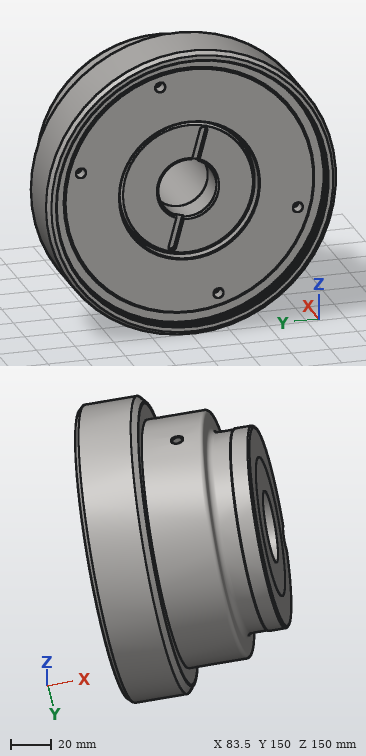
import cadquery as cq
import math


ring_radius = 75.0
ring_length = 31.6
ring_front_chamfer_length = 2.2
ring_front_chamfer_height = 2.1
ring_rear_chamfer_length = 3.0
ring_rear_chamfer_height = 3.5
lip_length = 3.3
lip_bore_radius = 69.9
lip_chamfer = 0.6
seat_radius = 70.8

plate_back = 15.0
pad_front = 5.0
pad_radius = 64.8
pad_height = 0.9
pad_edge_chamfer = 0.8
rim_mouth_chamfer = 0.22
rim_foot_height = 0.3
rim_foot_width = 0.3
plate_bore_radius = 36.0
plate_bore_chamfer = 0.5
face_hole_radius = 2.5
face_hole_depth = 7.5
face_hole_circle_radius = 58.0
drill_point_angle = 118.0
pattern_angle = 15.0
face_hole_angles = [pattern_angle + step for step in (0, 60, 180, 240)]

hub_front = 7.5
hub_radius = 35.0
hub_edge_chamfer = 1.4
hub_bore_radius = 15.0
hub_bore_chamfer = 1.0
hub_bore_end = 23.5
hub_rear_bore_radius = 18.0
slot_width = 3.9
slot_depth = 3.0
slot_end_radius = 33.0
slot_angles = [pattern_angle + 90, pattern_angle + 270]

total_length = 83.5
body_radius = 62.5
shoulder = 62.5
body_edge_fillet = 2.0
neck_radius = 50.5
neck_fillet = 3.0
collar_radius = 51.0
collar_start = 73.8
collar_end_chamfer = 0.9
groove_radius = 6.9
groove_circle_radius = 52.5
groove_angle = 45.0
side_hole_x = 49.5
side_hole_radius = 2.5
side_hole_chamfer = 0.5


def turned(points):
    """Solid of revolution about X of a closed (x, radius) outline."""
    return cq.Workplane("XY").polyline(points).close().revolve(360, (0, 0, 0), (1, 0, 0))


def around_axis(radius, angle):
    """(y, z) of a point at the given radius and angle from +Y about X."""
    return radius * math.cos(math.radians(angle)), radius * math.sin(math.radians(angle))


def make_clamp_ring():
    return turned([
        (0, lip_bore_radius + lip_chamfer),
        (0, ring_radius - ring_front_chamfer_height),
        (ring_front_chamfer_length, ring_radius),
        (ring_length - ring_rear_chamfer_length, ring_radius),
        (ring_length, ring_radius - ring_rear_chamfer_height),
        (ring_length, seat_radius),
        (lip_length, seat_radius),
        (lip_length, lip_bore_radius),
        (lip_chamfer, lip_bore_radius),
    ])


def make_face_hole(angle):
    """Blind drilled hole with a conical bottom, entering at the pad."""
    point_depth = face_hole_radius / math.tan(math.radians(drill_point_angle / 2))
    drill = turned([
        (pad_front, 0),
        (pad_front, face_hole_radius),
        (pad_front + face_hole_depth, face_hole_radius),
        (pad_front + face_hole_depth + point_depth, 0),
    ])
    y, z = around_axis(face_hole_circle_radius, angle)
    return drill.translate((0, y, z))


def make_face_plate():
    floor = pad_front + pad_height
    plate = turned([
        (lip_length, seat_radius),
        (plate_back, seat_radius),
        (plate_back, plate_bore_radius),
        (pad_front + plate_bore_chamfer, plate_bore_radius),
        (pad_front, plate_bore_radius + plate_bore_chamfer),
        (pad_front, pad_radius - pad_edge_chamfer),
        (pad_front + pad_edge_chamfer, pad_radius),
        (floor, pad_radius),
        (floor, lip_bore_radius - rim_foot_width),
        (floor - rim_foot_height, lip_bore_radius),
        (lip_length + rim_mouth_chamfer, lip_bore_radius),
        (lip_length, lip_bore_radius + rim_mouth_chamfer),
    ])
    for angle in face_hole_angles:
        plate = plate.cut(make_face_hole(angle))
    return plate


def make_hub_slot(angle):
    """Radial slot in the hub face, open to the bore and round at its outer end."""
    end_center = slot_end_radius - slot_width / 2
    face = cq.Workplane("YZ", origin=(hub_front, 0, 0))
    channel = face.center(end_center / 2, 0).rect(end_center, slot_width).extrude(slot_depth)
    round_end = face.center(end_center, 0).circle(slot_width / 2).extrude(slot_depth)
    return channel.union(round_end).rotate((0, 0, 0), (1, 0, 0), angle)


def make_hub():
    hub = turned([
        (hub_front, hub_bore_radius + hub_bore_chamfer),
        (hub_front, hub_radius - hub_edge_chamfer),
        (hub_front + hub_edge_chamfer, hub_radius),
        (total_length, hub_radius),
        (total_length, hub_rear_bore_radius),
        (hub_bore_end, hub_rear_bore_radius),
        (hub_bore_end, hub_bore_radius),
        (hub_front + hub_bore_chamfer, hub_bore_radius),
    ])
    for angle in slot_angles:
        hub = hub.cut(make_hub_slot(angle))
    return hub


def make_housing_blank():
    """Flange, body, filleted neck and end collar, bored for the hub."""
    collar_step = collar_radius - neck_radius
    outline = (
        cq.Workplane("XY")
        .moveTo(plate_back, hub_radius)
        .lineTo(plate_back, seat_radius)
        .lineTo(ring_length, seat_radius)
        .lineTo(ring_length, body_radius)
        .lineTo(shoulder - body_edge_fillet, body_radius)
        .tangentArcPoint((body_edge_fillet, -body_edge_fillet))
        .lineTo(shoulder, neck_radius + neck_fillet)
        .tangentArcPoint((neck_fillet, -neck_fillet))
        .lineTo(collar_start, neck_radius)
        .lineTo(collar_start + collar_step, collar_radius)
        .lineTo(total_length - collar_end_chamfer, collar_radius)
        .lineTo(total_length, collar_radius - collar_end_chamfer)
        .lineTo(total_length, hub_radius)
        .close()
    )
    return outline.revolve(360, (0, 0, 0), (1, 0, 0))


def make_neck_groove():
    """Round groove along the neck and collar, from the shoulder to the rear end."""
    y, z = around_axis(groove_circle_radius, groove_angle)
    start = cq.Workplane("YZ", origin=(shoulder, y, z))
    return start.circle(groove_radius).extrude(total_length - shoulder)


def make_side_hole():
    """Hole from the -Y side of the body down to the hub, with a chamfered mouth."""
    drill = cq.Workplane("XZ", origin=(side_hole_x, 0, 0)).circle(side_hole_radius).extrude(body_radius)
    mouth_radius = side_hole_radius + side_hole_chamfer
    mouth = cq.Workplane("XY").add(
        cq.Solid.makeCone(
            mouth_radius,
            side_hole_radius,
            side_hole_chamfer,
            cq.Vector(side_hole_x, -body_radius, 0),
            cq.Vector(0, 1, 0),
        )
    )
    return drill.union(mouth)


def make_housing():
    return make_housing_blank().cut(make_neck_groove()).cut(make_side_hole())


clamp_ring = make_clamp_ring()
face_plate = make_face_plate()
housing = make_housing()
hub = make_hub()

result = cq.Compound.makeCompound([clamp_ring.val(), face_plate.val(), housing.val(), hub.val()])